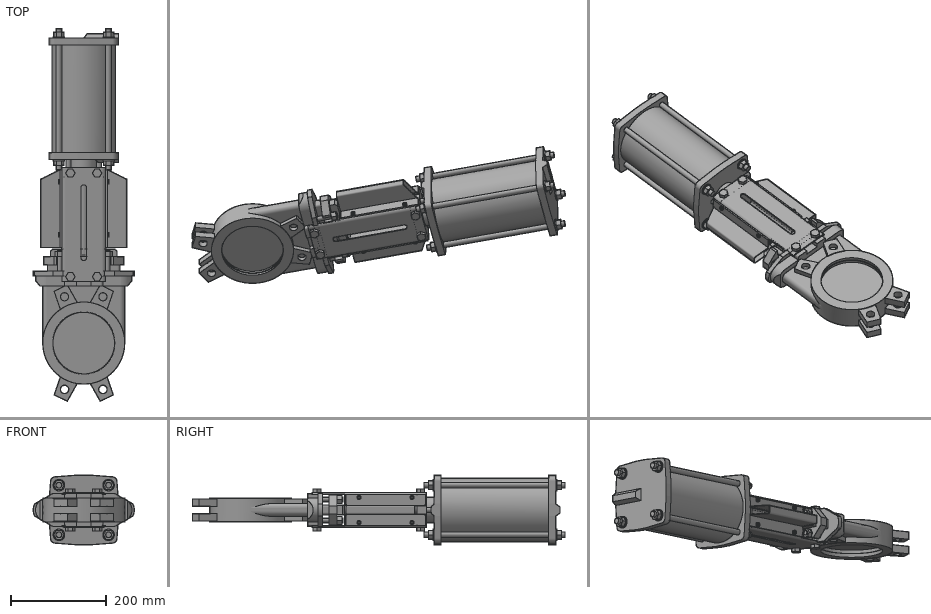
import cadquery as cq
import math


OVERALL_LENGTH = 780.53

BODY_RADIUS = 86.0
BODY_HALF_THICKNESS = 25.0
BORE_DIAMETER = 129.0
SEAT_RECESS_DIAMETER = 132.0
SEAT_LIP_DEPTH = 8.0
NECK_HALF_THICKNESS = 13.2
NECK_EDGE_RADIUS = 9.5

BOLT_CIRCLE_RADIUS = 105.0
BOLT_ANGLE = math.radians(22.5)
LUG_HOLE_DIAMETER = 17.0
LUG_THICKNESS = 16.0
LUG_OUTER_FACE = 23.5
LUG_ROOT_Y = 66.0
LUG_INNER_ROOT_X = 3.0
LUG_OUTER_ROOT_X = 47.5
LUG_INNER_TIP_X = 34.5
LUG_OUTER_TIP = (62.0, 108.5)
LUG_TIP_Y = 122.0

BOX_BOTTOM_Y = 119.5
BOX_TOP_Y = 141.0
BOX_HALF_LENGTH = 101.0
BOX_STRAIGHT_HALF_LENGTH = 79.0
BOX_HALF_THICKNESS = 25.0
BOX_CORNER_WIDTH = 9.0
BOX_CORNER_HEIGHT = 11.5
BOSS_INNER_X = 15.0
BOSS_OUTER_X = 40.0
BOSS_EDGE_RADIUS = 4.0

FLANGE_TOP_Y = 150.7
FLANGE_HALF_LENGTH = 106.0
FLANGE_HALF_THICKNESS = 35.0
FLANGE_SHOULDER_X = 64.0
FLANGE_END_X = 103.0
FLANGE_END_Z = 12.7

GLAND_BOTTOM_Y = 164.0
GLAND_TOP_Y = 181.0
GLAND_HALF_LENGTH = 84.0
GLAND_SHOULDER_X = 62.0
GLAND_HALF_THICKNESS = 32.0
GLAND_END_HALF_THICKNESS = 8.5
LIP_HALF_LENGTH = 76.0
LIP_HALF_THICKNESS = 10.5
LIP_EDGE_RADIUS = 5.0
STUD_SLOT_WIDTH = 13.5
STUD_X = 50.0
STUD_Z = 22.0
STUD_DIAMETER = 10.0
STUD_TOP_Y = 193.5
GLAND_NUT_FLATS = 17.0
GLAND_NUT_TOP_Y = 191.5
GATE_HALF_WIDTH = 70.0
GATE_HALF_THICKNESS = 9.5
GATE_TOP_Y = 197.0
GATE_CHAMFER = 5.0

YOKE_BOTTOM_Y = 128.5
YOKE_LEG_BOTTOM_Y = 197.0
YOKE_TOP_Y = 368.0
YOKE_HALF_WIDTH = 47.0
YOKE_OUTER_Z = 37.0
YOKE_LEG_EDGE_Z = 11.0
YOKE_TONGUE_EDGE_Z = 32.5
YOKE_SHEET = 2.5
YOKE_BEND_RADIUS = 9.0
SLOT_WIDTH = 12.0
SLOT_BOTTOM_Y = 173.0
SLOT_TOP_Y = 331.5
YOKE_BOLT_X = 28.0
YOKE_BOLT_YS = (139.0, 356.0)
YOKE_BOLT_FLATS = 17.0
YOKE_BOLT_HEAD_HEIGHT = 7.2
YOKE_BLOCK_BOTTOM_Y = 348.0
STEM_DIAMETER = 20.0
STEM_BOTTOM_Y = 184.0

GUARD_HALF_WIDTH = 90.5
GUARD_HALF_THICKNESS = 9.5
GUARD_SHEET = 1.5
GUARD_BEND_RADIUS = 3.5
GUARD_BOTTOM_Y = 200.0
GUARD_SHOULDER_Y = 343.0
GUARD_TOP_Y = 366.0
GUARD_FLANGE_SHEET = 2.5
GUARD_FLANGE_TOP_Z = 32.0
SCREW_YS = (227.0, 338.0)
SCREW_Z = 26.5
SCREW_HEAD_DIAMETER = 8.72
SCREW_HEAD_HEIGHT = 6.0
SCREW_SOCKET_DIAMETER = 4.13
SCREW_SOCKET_DEPTH = 2.5

HEAD_THICKNESS = 15.0
LOWER_HEAD_Y = 384.0
UPPER_HEAD_Y = 624.0
HEAD_HALF_SIZE = 73.25
HEAD_FLAT_HALF_WIDTH = 13.0
HEAD_CORNER_SIZE = 69.0
HEAD_CORNER_RADIUS = 10.0
TUBE_RADIUS = 67.0
NOSE_DIAMETER = 54.0
SPACER_X = 32.0
SPACER_DIAMETER = 11.0
ROD_OFFSET = 52.0
ROD_DIAMETER = 12.0
ROD_BOTTOM_Y = 363.0
ROD_TOP_Y = OVERALL_LENGTH - LUG_TIP_Y
ROD_NUT_FLATS = 19.0
ROD_NUT_HEIGHT = 9.5
WASHER_DIAMETER = 24.0
WASHER_THICKNESS = 2.5
UPPER_PORT_HEIGHT = 9.0
UPPER_PORT_START_X = 0.0
LOWER_PORT_HEIGHT = 6.0
LOWER_PORT_START_X = 24.0
PORT_BASE_HALF_WIDTH = 13.0
PORT_TOP_HALF_WIDTH = 6.5
PORT_SLOPE = 7.0


def box(x0, x1, y0, y1, z0, z1):
    """Block between two opposite corners."""
    return cq.Workplane("XY").box(x1 - x0, y1 - y0, z1 - z0, centered=False).translate((x0, y0, z0))


def xz_plane(y):
    """Work plane at height y whose local axes are X and Z; extrusions grow towards +Y."""
    return cq.Workplane(cq.Plane(origin=(0, y, 0), xDir=(1, 0, 0), normal=(0, -1, 0)))


def along_y(sketch, length):
    return sketch.extrude(-length)


def rod(x, z, diameter, y0, y1):
    """Round bar along Y."""
    return along_y(xz_plane(y0).center(x, z).circle(diameter / 2), y1 - y0)


def nut(x, z, flats, y0, y1):
    """Hexagon along Y with two corners pointing in X."""
    corners = flats / math.cos(math.pi / 6)
    return along_y(xz_plane(y0).center(x, z).polygon(6, corners), y1 - y0)


def slab(sketch, half_thickness):
    """Extrusion of an outline in the XY plane, centred on Z = 0."""
    return sketch.extrude(2 * half_thickness).translate((0, 0, -half_thickness))


def disc(radius, half_thickness):
    return slab(cq.Workplane("XY").circle(radius), half_thickness)


def both_x(shape):
    return shape.union(shape.mirror("YZ"))


def both_z(shape):
    return shape.union(shape.mirror("XY"))


def lugs():
    """Eight drilled lugs, in facing pairs on the bolt circle."""
    outline = [
        (LUG_OUTER_ROOT_X, LUG_ROOT_Y),
        LUG_OUTER_TIP,
        (LUG_INNER_TIP_X, LUG_TIP_Y),
        (LUG_INNER_ROOT_X, LUG_ROOT_Y),
    ]
    lug = cq.Workplane("XY").workplane(offset=LUG_OUTER_FACE - LUG_THICKNESS)
    lug = lug.polyline(outline).close().extrude(LUG_THICKNESS)
    return both_z(both_x(lug.union(lug.mirror("XZ"))))


def neck():
    w, t = BODY_RADIUS, NECK_HALF_THICKNESS
    return box(-w, w, 0, BOX_TOP_Y, -t, t).edges("|Y").fillet(NECK_EDGE_RADIUS)


def lug_holes():
    x = BOLT_CIRCLE_RADIUS * math.sin(BOLT_ANGLE)
    y = BOLT_CIRCLE_RADIUS * math.cos(BOLT_ANGLE)
    points = [(x, y), (-x, y), (x, -y), (-x, -y)]
    sketch = cq.Workplane("XY").pushPoints(points).circle(LUG_HOLE_DIAMETER / 2)
    return slab(sketch, BODY_HALF_THICKNESS)


def body():
    """Ring and neck; the lug holes beside the neck stop at its faces."""
    ring = disc(BODY_RADIUS, BODY_HALF_THICKNESS)
    bore = disc(BORE_DIAMETER / 2, BODY_HALF_THICKNESS)
    recess = disc(SEAT_RECESS_DIAMETER / 2, BODY_HALF_THICKNESS - SEAT_LIP_DEPTH)
    drilled = ring.union(lugs()).cut(lug_holes())
    return drilled.union(neck()).cut(bore).cut(recess)


def packing_box():
    """Round-ended box with bosses for the yoke bolts."""
    s, t = BOX_STRAIGHT_HALF_LENGTH, BOX_HALF_THICKNESS
    sketch = xz_plane(BOX_BOTTOM_Y).moveTo(-s, t).lineTo(s, t)
    sketch = sketch.threePointArc((BOX_HALF_LENGTH, 0), (s, -t)).lineTo(-s, -t)
    sketch = sketch.threePointArc((-BOX_HALF_LENGTH, 0), (-s, t)).close()
    height = BOX_TOP_Y - BOX_BOTTOM_Y
    corner_x, corner_y = BOX_HALF_LENGTH - BOX_CORNER_WIDTH, BOX_BOTTOM_Y + BOX_CORNER_HEIGHT
    triangle = [(corner_x, BOX_BOTTOM_Y), (BOX_HALF_LENGTH, BOX_BOTTOM_Y), (BOX_HALF_LENGTH, corner_y)]
    corner = slab(cq.Workplane("XY").polyline(triangle).close(), t)
    boss_top = YOKE_OUTER_Z - YOKE_SHEET
    boss = box(BOSS_INNER_X, BOSS_OUTER_X, BOX_BOTTOM_Y, BOX_TOP_Y, 0, boss_top)
    boss = boss.edges("|Y and >X and >Z").fillet(BOSS_EDGE_RADIUS)
    return along_y(sketch, height).cut(both_x(corner)).union(both_z(both_x(boss)))


def flange():
    """Long plate tapering to rounded ends."""
    s, t = FLANGE_SHOULDER_X, FLANGE_HALF_THICKNESS
    e, h = FLANGE_END_X, FLANGE_END_Z
    sketch = xz_plane(BOX_TOP_Y).moveTo(-s, t).lineTo(s, t).lineTo(e, h)
    sketch = sketch.threePointArc((FLANGE_HALF_LENGTH, 0), (e, -h)).lineTo(s, -t).lineTo(-s, -t)
    sketch = sketch.lineTo(-e, -h).threePointArc((-FLANGE_HALF_LENGTH, 0), (-e, h)).close()
    return along_y(sketch, FLANGE_TOP_Y - BOX_TOP_Y)


def gland():
    """Octagonal gland plate with open stud slots, and its lip, studs and nuts."""
    s, t = GLAND_SHOULDER_X, GLAND_HALF_THICKNESS
    e, h = GLAND_HALF_LENGTH, GLAND_END_HALF_THICKNESS
    outline = [(-s, t), (s, t), (e, h), (e, -h), (s, -t), (-s, -t), (-e, -h), (-e, h)]
    plate = along_y(xz_plane(GLAND_BOTTOM_Y).polyline(outline).close(), GLAND_TOP_Y - GLAND_BOTTOM_Y)
    lip_x, lip_z = LIP_HALF_LENGTH, LIP_HALF_THICKNESS
    lip = box(-lip_x, lip_x, BOX_TOP_Y, GLAND_TOP_Y, -lip_z, lip_z)
    plate = plate.union(lip.edges("|Y").fillet(LIP_EDGE_RADIUS))
    slot = rod(STUD_X, STUD_Z, STUD_SLOT_WIDTH, GLAND_BOTTOM_Y, GLAND_TOP_Y)
    half_slot = STUD_SLOT_WIDTH / 2
    slot = slot.union(box(STUD_X - half_slot, STUD_X + half_slot, GLAND_BOTTOM_Y, GLAND_TOP_Y, STUD_Z, t))
    plate = plate.cut(both_z(both_x(slot)))
    stud = rod(STUD_X, STUD_Z, STUD_DIAMETER, BOX_TOP_Y, STUD_TOP_Y)
    stud = stud.union(nut(STUD_X, STUD_Z, GLAND_NUT_FLATS, GLAND_TOP_Y, GLAND_NUT_TOP_Y))
    return plate.union(both_z(both_x(stud)))


def gate():
    """Flat gate closing the bore, with its stem."""
    w, t = GATE_HALF_WIDTH, GATE_HALF_THICKNESS
    blade = box(-w, w, 0, GATE_TOP_Y, -t, t).edges("|Z and >Y").chamfer(GATE_CHAMFER)
    blade = blade.union(disc(w, t))
    return blade.union(rod(0, 0, STEM_DIAMETER, STEM_BOTTOM_Y, YOKE_TOP_Y))


def yoke_channel():
    """Bent sheet channel on the +Z side, slotted, with cut-back legs."""
    w, t, top = YOKE_HALF_WIDTH, YOKE_SHEET, YOKE_OUTER_Z
    outer = box(-w, w, YOKE_BOTTOM_Y, YOKE_TOP_Y, YOKE_LEG_EDGE_Z, top)
    outer = outer.edges("|Y and >Z").fillet(YOKE_BEND_RADIUS)
    inner = box(t - w, w - t, YOKE_BOTTOM_Y, YOKE_TOP_Y, YOKE_LEG_EDGE_Z, top - t)
    inner = inner.edges("|Y and >Z").fillet(YOKE_BEND_RADIUS - t)
    leg_cut = box(-w, w, YOKE_BOTTOM_Y, YOKE_LEG_BOTTOM_Y, YOKE_LEG_EDGE_Z, YOKE_TONGUE_EDGE_Z)
    slot = cq.Workplane("XY").center(0, (SLOT_BOTTOM_Y + SLOT_TOP_Y) / 2)
    slot = slot.slot2D(SLOT_TOP_Y - SLOT_BOTTOM_Y, SLOT_WIDTH, 90).extrude(top)
    return outer.cut(inner).cut(leg_cut).cut(slot)


def yoke_bolts():
    points = [(x, y) for x in (-YOKE_BOLT_X, YOKE_BOLT_X) for y in YOKE_BOLT_YS]
    corners = YOKE_BOLT_FLATS / math.cos(math.pi / 6)
    plane = cq.Workplane("XY").workplane(offset=YOKE_OUTER_Z)
    return plane.pushPoints(points).polygon(6, corners).extrude(YOKE_BOLT_HEAD_HEIGHT)


def guard_screws():
    """Socket screws on the +X leg of the +Z channel."""
    points = [(y, SCREW_Z) for y in SCREW_YS]
    plane = cq.Workplane("YZ").workplane(offset=YOKE_HALF_WIDTH)
    heads = plane.pushPoints(points).circle(SCREW_HEAD_DIAMETER / 2).extrude(SCREW_HEAD_HEIGHT)
    plane = plane.workplane(offset=SCREW_HEAD_HEIGHT)
    sockets = plane.pushPoints(points).circle(SCREW_SOCKET_DIAMETER / 2).extrude(-SCREW_SOCKET_DEPTH)
    return heads.cut(sockets)


def yoke():
    inside = YOKE_HALF_WIDTH - YOKE_SHEET
    depth = YOKE_OUTER_Z - YOKE_SHEET
    block = box(-inside, inside, YOKE_BLOCK_BOTTOM_Y, YOKE_TOP_Y, -depth, depth)
    block = block.edges("|Y").fillet(YOKE_BEND_RADIUS - YOKE_SHEET)
    side = yoke_channel().union(yoke_bolts()).union(both_x(guard_screws()))
    return block.union(both_z(side))


def guard():
    """Sheet cover on the +X side, open towards the stem, at its bottom and at its sloping top."""
    root = YOKE_HALF_WIDTH - YOKE_SHEET
    w, h, t = GUARD_HALF_WIDTH, GUARD_HALF_THICKNESS, GUARD_SHEET
    outer = box(root, w, GUARD_BOTTOM_Y, GUARD_TOP_Y, -h, h).edges("|Y and >X").fillet(GUARD_BEND_RADIUS)
    inner = box(root, w - t, GUARD_BOTTOM_Y, GUARD_TOP_Y, t - h, h - t)
    inner = inner.edges("|Y and >X").fillet(GUARD_BEND_RADIUS - t)
    corner = [(w, GUARD_SHOULDER_Y), (w, GUARD_TOP_Y), (root, GUARD_TOP_Y)]
    slope = slab(cq.Workplane("XY").polyline(corner).close(), h)
    cover = outer.cut(inner).cut(slope)
    flange_x = YOKE_HALF_WIDTH + GUARD_FLANGE_SHEET
    strip = box(root + t, flange_x, GUARD_BOTTOM_Y, GUARD_TOP_Y, h - t, GUARD_FLANGE_TOP_Z)
    strip = strip.cut(slope)
    return cover.union(both_z(strip))


def cylinder_head(y):
    """Square head with slightly raised sides and rounded corners."""
    a, f, c = HEAD_HALF_SIZE, HEAD_FLAT_HALF_WIDTH, HEAD_CORNER_SIZE
    quarter = [(f, a), (c, c), (a, f)]
    outline = []
    for turn in range(4):
        for x, z in quarter:
            for _ in range(turn):
                x, z = z, -x
            outline.append((x, z))
    head = along_y(xz_plane(y).polyline(outline).close(), HEAD_THICKNESS)
    for sx in (-1, 1):
        for sz in (-1, 1):
            head = head.edges("|Y").edges(f">({sx},0,{sz})").fillet(HEAD_CORNER_RADIUS)
    return head


def port(y, height, start_x, direction):
    """Tapered air-port ridge on a head face, running out to the +X side."""
    b = PORT_BASE_HALF_WIDTH
    n = PORT_TOP_HALF_WIDTH
    section = [(y, -b), (y + direction * height, -n), (y + direction * height, n), (y, b)]
    ridge = cq.Workplane("YZ").workplane(offset=start_x).polyline(section).close()
    ridge = ridge.extrude(HEAD_HALF_SIZE - start_x)
    ramp = [(start_x, y), (start_x + PORT_SLOPE, y + direction * height), (start_x, y + direction * height)]
    return ridge.cut(slab(cq.Workplane("XY").polyline(ramp).close(), b))


def tie_rod():
    """Tie rod with a washer and nut outside each head."""
    p = ROD_OFFSET
    bar = rod(p, p, ROD_DIAMETER, ROD_BOTTOM_Y, ROD_TOP_Y)
    for face, way in ((LOWER_HEAD_Y, -1), (UPPER_HEAD_Y + HEAD_THICKNESS, 1)):
        seat = face + way * WASHER_THICKNESS
        end = seat + way * ROD_NUT_HEIGHT
        bar = bar.union(rod(p, p, WASHER_DIAMETER, min(face, seat), max(face, seat)))
        bar = bar.union(nut(p, p, ROD_NUT_FLATS, min(seat, end), max(seat, end)))
    return bar


def cylinder():
    parts = rod(0, 0, 2 * TUBE_RADIUS, LOWER_HEAD_Y, UPPER_HEAD_Y + HEAD_THICKNESS)
    parts = parts.union(cylinder_head(LOWER_HEAD_Y)).union(cylinder_head(UPPER_HEAD_Y))
    parts = parts.union(rod(0, 0, NOSE_DIAMETER, YOKE_TOP_Y, LOWER_HEAD_Y))
    parts = parts.union(both_x(rod(SPACER_X, 0, SPACER_DIAMETER, YOKE_TOP_Y, LOWER_HEAD_Y)))
    parts = parts.union(port(UPPER_HEAD_Y + HEAD_THICKNESS, UPPER_PORT_HEIGHT, UPPER_PORT_START_X, 1))
    parts = parts.union(port(LOWER_HEAD_Y, LOWER_PORT_HEIGHT, LOWER_PORT_START_X, -1))
    return parts.union(both_z(both_x(tie_rod())))


result = body()
for component in (packing_box(), flange(), gland(), gate(), yoke(), both_x(guard()), cylinder()):
    result = result.union(component)